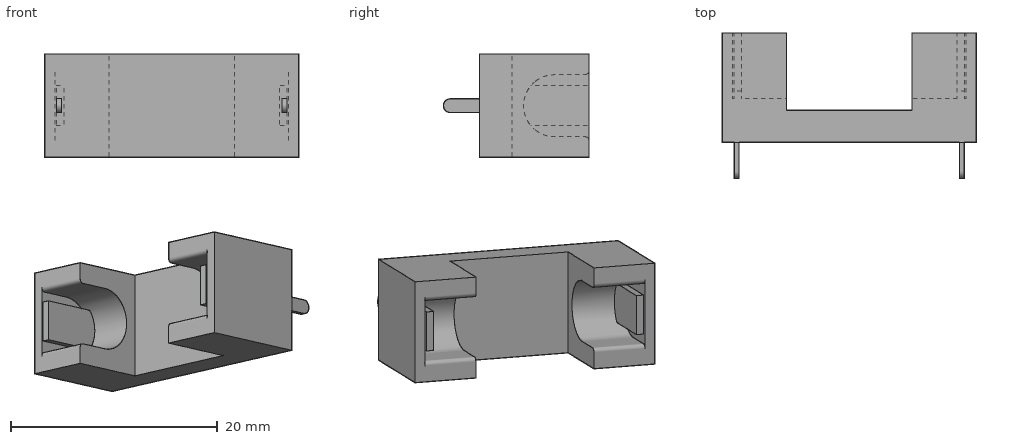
import cadquery as cq

length = 24.6
depth = 10.6
height = 10.0
arm_width = 6.25
bridge_depth = 3.12

pocket_width = 6.0
pocket_floor_y = 4.25
end_wall = 1.0
mouth_radius = 0.4

contact_width = 3.85
contact_thickness = 0.75
contact_outer_offset = 1.15

pin_length = 3.5
pin_width = 1.35
pin_thickness = 0.5

outer_x = length / 2
inner_x = outer_x - arm_width
contact_outer_x = outer_x - contact_outer_offset


def box_between(x0, x1, y0, y1, z_size):
    """Box between two X and two Y positions, centred on z = 0."""
    box = cq.Workplane("XY").box(x1 - x0, y1 - y0, z_size, centered=False)
    return box.translate((x0, y0, -z_size / 2))


def rounded_bar(x0, x1, y_round, y_flat, z_size):
    """Plate normal to X, with a half-round end at y_round and a flat end at y_flat."""
    radius = z_size / 2
    y_center = y_round + radius if y_round < y_flat else y_round - radius
    return (
        cq.Workplane("YZ", origin=(x0, 0, 0))
        .moveTo(y_flat, radius)
        .lineTo(y_center, radius)
        .threePointArc((y_round, 0), (y_center, -radius))
        .lineTo(y_flat, -radius)
        .close()
        .extrude(x1 - x0)
    )


def make_body():
    block = box_between(-outer_x, outer_x, 0, depth, height)
    return block.cut(box_between(-inner_x, inner_x, bridge_depth, depth, height))


def make_pocket():
    """Pocket of the +X arm, its mouth flared by a quarter-round on both lips."""
    lip_z = pocket_width / 2
    pocket_end_x = outer_x - end_wall
    pocket = rounded_bar(inner_x, pocket_end_x, pocket_floor_y, depth, pocket_width)
    mouth = box_between(
        inner_x, pocket_end_x, depth - mouth_radius, depth, pocket_width + 2 * mouth_radius
    )
    for side in (-1, 1):
        lip = (
            cq.Workplane("YZ", origin=(inner_x, 0, 0))
            .center(depth - mouth_radius, side * (lip_z + mouth_radius))
            .circle(mouth_radius)
            .extrude(pocket_end_x - inner_x)
        )
        mouth = mouth.cut(lip)
    return pocket.union(mouth)


def make_contact():
    contact_inner_x = contact_outer_x - contact_thickness
    return box_between(contact_inner_x, contact_outer_x, bridge_depth, depth, contact_width)


def make_pin():
    return rounded_bar(contact_outer_x - pin_thickness, contact_outer_x, -pin_length, 0, pin_width)


result = make_body()
pocket = make_pocket()
contact = make_contact()
pin = make_pin()
for mirrored in (False, True):
    if mirrored:
        pocket, contact, pin = (shape.mirror("YZ") for shape in (pocket, contact, pin))
    result = result.cut(pocket).union(contact).union(pin)